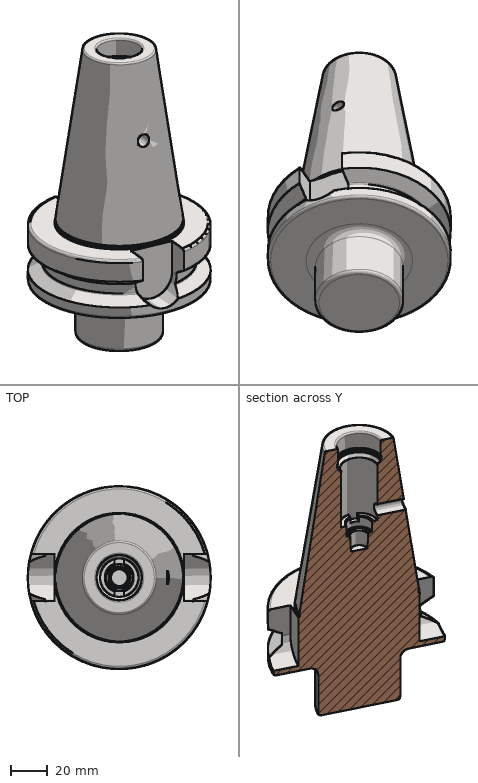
import cadquery as cq
import math

total_height = 171.8
nose_radius = 24.0
nose_end_fillet = 2.0
nose_root_fillet = 5.0

flange_radius = 50.0
flange_bottom = 32.0
flange_top = 67.0
flange_edge_fillet = 1.5
groove_floor_radius = 42.3
groove_middle = 46.5
groove_floor_width = 6.5
groove_floor_fillet = 0.9
groove_half_angle = math.radians(30)

gauge_height = 70.3
gauge_radius = 34.9
taper_radius_ratio = 7 / 48
taper_end_fillet = 1.0

relief_top = 69.0
relief_slope_height = 0.5
relief_radius = 34.7
relief_foot_radius = 35.4
relief_foot_height = 0.7

pilot_radius = 12.4
pilot_fillet = 1.0
pilot_depth = 10.3
undercut_radius = 12.9
undercut_width = 1.9
land_height = 1.0
lead_in_height = 2.2
thread_radius = 10.5
thread_depth = 51.5
seat_radius = 7.4
seat_depth = 6.9
seat_chamfer = 0.5
core_rim_radius = 6.0
core_rim_height = 1.0
core_mouth_radius = 5.2
core_radius = 4.6
core_depth = 10.3

slot_width = 5.0
slot_depth = 3.5

keyway_width = 25.8
keyway_bottom = 35.5
keyway_floor = 35.4
keyway_overrun = 1.7

side_hole_diameter = 7.0
side_hole_height = 126.8


def taper_radius(height):
    return gauge_radius - (height - gauge_height) * taper_radius_ratio


def round_ring(body, radius, height, fillet):
    """Fillet the circular edge of the given radius at the given height."""
    def is_ring(edge):
        same_radius = math.isclose(edge.radius(), radius, abs_tol=0.02)
        same_height = math.isclose(edge.Center().z, height, abs_tol=0.02)
        return same_radius and same_height

    return body.edges("%CIRCLE").filter(is_ring).fillet(fillet)


def make_body():
    groove_side_height = (flange_radius - groove_floor_radius) * math.tan(groove_half_angle)
    floor_low = groove_middle - groove_floor_width / 2
    floor_high = groove_middle + groove_floor_width / 2
    outline = [
        (0, 0),
        (nose_radius, 0),
        (nose_radius, flange_bottom),
        (flange_radius, flange_bottom),
        (flange_radius, floor_low - groove_side_height),
        (groove_floor_radius, floor_low),
        (groove_floor_radius, floor_high),
        (flange_radius, floor_high + groove_side_height),
        (flange_radius, flange_top),
        (relief_foot_radius, flange_top),
        (relief_radius, flange_top + relief_foot_height),
        (relief_radius, relief_top - relief_slope_height),
        (taper_radius(relief_top), relief_top),
        (taper_radius(total_height), total_height),
        (0, total_height),
    ]
    body = cq.Workplane("XZ").polyline(outline).close().revolve(360, (0, 0), (0, 1))
    rounds = [
        (taper_radius(total_height), total_height, taper_end_fillet),
        (nose_radius, 0, nose_end_fillet),
        (nose_radius, flange_bottom, nose_root_fillet),
        (flange_radius, flange_bottom, flange_edge_fillet),
        (flange_radius, flange_top, flange_edge_fillet),
        (groove_floor_radius, floor_low, groove_floor_fillet),
        (groove_floor_radius, floor_high, groove_floor_fillet),
    ]
    for radius, height, fillet in rounds:
        body = round_ring(body, radius, height, fillet)
    return body


def make_bore():
    pilot_end = total_height - pilot_depth
    undercut_end = pilot_end - undercut_width
    land_end = undercut_end - land_height
    thread_end = total_height - thread_depth
    undercut_slope = undercut_radius - pilot_radius
    seat_end = thread_end - seat_depth
    outline = [
        (0, total_height),
        (pilot_radius, total_height),
        (pilot_radius, pilot_end),
        (undercut_radius, pilot_end - undercut_slope),
        (undercut_radius, undercut_end),
        (pilot_radius, undercut_end),
        (pilot_radius, land_end),
        (thread_radius, land_end - lead_in_height),
        (thread_radius, thread_end),
        (seat_radius + seat_chamfer, thread_end),
        (seat_radius, thread_end - seat_chamfer),
        (seat_radius, seat_end),
        (core_rim_radius, seat_end),
        (core_mouth_radius, seat_end - core_rim_height),
        (core_radius, seat_end - core_depth),
        (0, seat_end - core_depth),
    ]
    return cq.Workplane("XZ").polyline(outline).close().revolve(360, (0, 0), (0, 1))


def make_driver_slot():
    shoulder = cq.Workplane("XY", origin=(0, 0, total_height - thread_depth))
    slot = shoulder.rect(slot_width, 2 * thread_radius).extrude(-slot_depth)
    bore_limit = shoulder.circle(thread_radius).extrude(-slot_depth)
    return slot.intersect(bore_limit)


def make_keyway(side):
    half_width = keyway_width / 2
    arc_height = keyway_bottom + half_width
    return (
        cq.Workplane("YZ", origin=(side * keyway_floor, 0, 0))
        .moveTo(-half_width, flange_top)
        .lineTo(-half_width, arc_height)
        .threePointArc((0, keyway_bottom), (half_width, arc_height))
        .lineTo(half_width, flange_top)
        .close()
        .extrude(side * (flange_radius - keyway_floor + keyway_overrun))
    )


def make_side_hole():
    return (
        cq.Workplane("YZ")
        .center(0, side_hole_height)
        .circle(side_hole_diameter / 2)
        .extrude(gauge_radius)
    )


holder = make_body().cut(make_bore())
holder = round_ring(holder, pilot_radius, total_height, pilot_fillet)
holder = holder.cut(make_driver_slot()).cut(make_side_hole())
for side in (-1, 1):
    holder = holder.cut(make_keyway(side))
result = holder